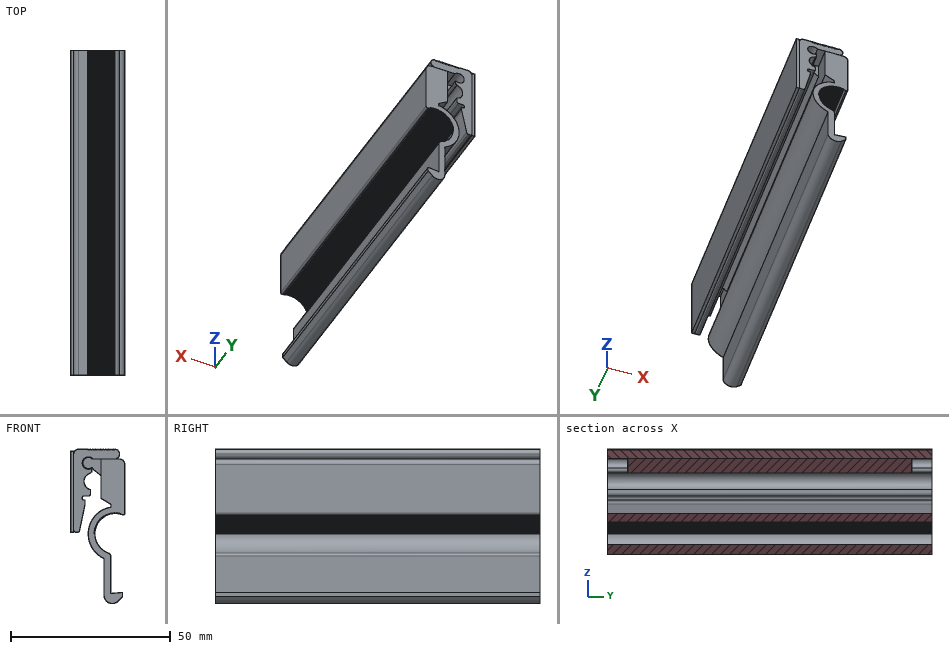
import cadquery as cq
import math

length = 101.6
overall_width = 17.02
overall_height = 48.31

tape_thickness = 1.0
tape_height = 25.4
tape_top = -0.6

flange_tip = 15.35
flange_thickness = 3.07
rail_corner_radius = 1.5
flange_tip_radius = 1.5
wall_bottom = tape_top - tape_height
wall_bottom_width = 1.75
wall_bottom_radius = 0.7
taper_top_x = 4.6
taper_top_z = -17.2
lip_x = 6.7
lip_z = -7.1
lip_radius = 0.4
tooth_radius = 0.6
notch_radius = 0.5
notch_lip_radius = 0.3
taper_radius = 0.4
relief_x = 6.9
relief_z = -10.1
relief_radius = 2.65
tooth_x = 6.25
tooth_bottom = -14.7
notch_x = 3.7
notch_bottom = -15.85

groove_pitch = 0.508
groove_depth = groove_pitch / 2
bore_groove_pitch = groove_pitch / 2
flange_groove_start = 5.3
flange_groove_count = 17
bore_groove_start = 180.0
bore_groove_end = 75.0

hinge_x = 5.6
hinge_z = -4.35
hinge_radius = 1.8
socket_radius = 1.88

block_left = 9.5
block_foot = -15.4
block_bottom = -20.6
block_top_radius = 1.8
block_bottom_radius = 0.6
bore_x = 14.0
bore_z = -26.5
bore_radius = 6.35
grip_thickness = 2.15
leg_right = 12.6
leg_left = leg_right - grip_thickness
undercut_z = -17.3
undercut_radius = 0.3
arm_root_z = -8.3
arm_neck_x = 7.2
arm_neck_z = -6.45
arm_setback = 6.35
leg_corner_radius = 1.0
corner_reach = 0.1
heel_radius = 2.6
heel_x = leg_left + heel_radius
heel_z = heel_radius - overall_height
hook_floor = -45.1
hook_tip_x = 16.3
hook_tip_top = -44.75


def prism(sketch, depth=length):
    """Extrude an X-Z outline along Y, centred on Y = 0."""
    return sketch.extrude(depth / 2, both=True)


def corner_points(before, corner, after, radius):
    """Start, middle and end of the arc that rounds a corner."""
    def unit(point):
        dx = point[0] - corner[0]
        dz = point[1] - corner[1]
        size = math.hypot(dx, dz)
        return dx / size, dz / size

    ux, uz = unit(before)
    vx, vz = unit(after)
    half_angle = math.acos(ux * vx + uz * vz) / 2
    setback = radius / math.tan(half_angle)
    to_middle = radius / math.sin(half_angle) - radius
    bisector = math.hypot(ux + vx, uz + vz)
    start = (corner[0] + ux * setback, corner[1] + uz * setback)
    middle = (
        corner[0] + (ux + vx) / bisector * to_middle,
        corner[1] + (uz + vz) / bisector * to_middle,
    )
    end = (corner[0] + vx * setback, corner[1] + vz * setback)
    return start, middle, end


def rounded_outline(corners):
    """Closed X-Z outline from (x, z, radius) corners; radius 0 keeps a corner sharp."""
    outline = cq.Workplane("XZ").moveTo(*corners[0][:2])
    for i in range(1, len(corners)):
        x, z, radius = corners[i]
        if radius == 0:
            outline = outline.lineTo(x, z)
            continue
        after = corners[(i + 1) % len(corners)]
        start, middle, end = corner_points(corners[i - 1], (x, z), after, radius)
        outline = outline.lineTo(*start).threePointArc(middle, end)
    return outline.close()


def cylinder(x, z, radius, depth=length):
    return prism(cq.Workplane("XZ").center(x, z).circle(radius), depth)


def make_tape():
    outline = rounded_outline([
        (0, tape_top, 0),
        (tape_thickness, tape_top, 0),
        (tape_thickness, wall_bottom, 0),
        (0, wall_bottom, 0),
    ])
    return prism(outline)


def make_flange_grooves():
    outline = cq.Workplane("XZ").moveTo(flange_groove_start, 0)
    for i in range(flange_groove_count):
        left = flange_groove_start + i * groove_pitch
        outline = outline.lineTo(left + groove_pitch / 2, -groove_depth)
        outline = outline.lineTo(left + groove_pitch, 0)
    return prism(outline.close())


def make_rail():
    outline = rounded_outline([
        (hinge_x, -flange_thickness, 0),
        (hinge_x, hinge_z, 0),
        (lip_x, hinge_z, 0),
        (lip_x, lip_z, lip_radius),
        (tooth_x, relief_z + relief_radius, 0),
        (tooth_x, tooth_bottom, tooth_radius),
        (notch_x, tooth_bottom, notch_radius),
        (notch_x, notch_bottom, notch_lip_radius),
        (taper_top_x, notch_bottom, taper_radius),
        (taper_top_x, taper_top_z, 0),
        (tape_thickness + wall_bottom_width, wall_bottom, wall_bottom_radius),
        (tape_thickness, wall_bottom, wall_bottom_radius),
        (tape_thickness, 0, rail_corner_radius),
        (flange_tip, 0, flange_tip_radius),
        (flange_tip, -flange_thickness, flange_tip_radius),
    ])
    rail = prism(outline)
    rail = rail.cut(cylinder(hinge_x, hinge_z, socket_radius))
    rail = rail.cut(cylinder(relief_x, relief_z, relief_radius))
    return rail.cut(make_flange_grooves())


def bore_point(radius, degrees):
    angle = math.radians(degrees)
    return bore_x + radius * math.cos(angle), bore_z + radius * math.sin(angle)


def make_bore_grooves():
    """Toothed sector around the bore axis: ridges on the bore, valleys one groove depth outside it."""
    sweep = bore_groove_start - bore_groove_end
    count = round(math.radians(sweep) * bore_radius / bore_groove_pitch)
    step = sweep / count
    outline = cq.Workplane("XZ").moveTo(bore_x, bore_z).lineTo(*bore_point(bore_radius, bore_groove_start))
    for i in range(count):
        ridge = bore_groove_start - i * step
        outline = outline.lineTo(*bore_point(bore_radius + groove_depth, ridge - step / 2))
        outline = outline.lineTo(*bore_point(bore_radius, ridge - step))
    return prism(outline.close())


def make_block():
    return prism(rounded_outline([
        (block_left, -flange_thickness, 0),
        (overall_width, -flange_thickness, block_top_radius),
        (overall_width, block_bottom, block_bottom_radius),
        (leg_right, block_bottom, 0),
        (leg_right, undercut_z, undercut_radius),
        (block_left, block_foot, 0),
    ]))


def make_curved_grip():
    outer_radius = bore_radius + grip_thickness
    outer_size = 2 * outer_radius
    left_of_leg = cq.Workplane("XZ").center(leg_right - outer_radius, bore_z).rect(outer_size, outer_size)
    return cylinder(bore_x, bore_z, outer_radius).intersect(prism(left_of_leg))


def make_leg():
    """Straight leg with a round heel that runs at 45 degrees into the hook tip."""
    slope = heel_radius * math.sqrt(0.5)
    outline = (
        cq.Workplane("XZ")
        .moveTo(leg_left, bore_z - bore_radius)
        .lineTo(leg_right, bore_z - bore_radius)
        .lineTo(leg_right, hook_floor)
        .lineTo(hook_tip_x, hook_tip_top)
        .lineTo(hook_tip_x, heel_z - 2 * slope + hook_tip_x - heel_x)
        .lineTo(heel_x + slope, heel_z - slope)
        .threePointArc((heel_x - slope, heel_z - slope), (leg_left, heel_z))
        .close()
    )
    return prism(outline)


def make_hinge_arm():
    """Arm and bead that sit in the rail socket, set back from both ends."""
    depth = length - 2 * arm_setback
    outline = rounded_outline([
        (hinge_x, -flange_thickness, 0),
        (block_left, -flange_thickness, 0),
        (block_left, arm_root_z, 0),
        (arm_neck_x, arm_neck_z, 0),
        (hinge_x, hinge_z, 0),
    ])
    return prism(outline, depth).union(cylinder(hinge_x, hinge_z, hinge_radius, depth))


def make_clip():
    clip = make_block().union(make_curved_grip()).union(make_leg())
    clip = clip.cut(cylinder(bore_x, bore_z, bore_radius)).cut(make_bore_grooves())
    bore_foot_z = bore_z - math.sqrt(bore_radius**2 - (leg_right - bore_x) ** 2)
    leg_corner = cq.selectors.BoxSelector(
        (leg_right - corner_reach, -length, bore_foot_z - corner_reach),
        (leg_right + corner_reach, length, bore_foot_z + corner_reach),
    )
    clip = clip.edges("|Y").edges(leg_corner).fillet(leg_corner_radius)
    return clip.union(make_hinge_arm())


tape = make_tape()
rail = make_rail()
clip = make_clip()
result = cq.Compound.makeCompound([body.solids().val() for body in (tape, rail, clip)])